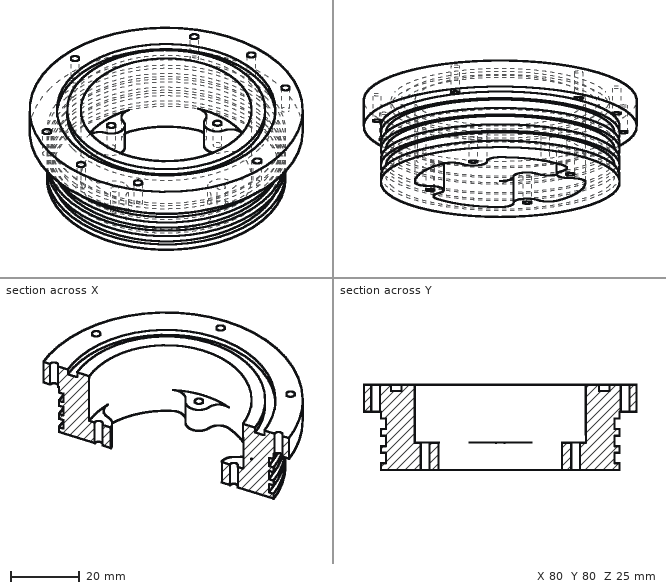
import cadquery as cq
import math

outer_diameter = 80.0
total_height = 25.0
flange_thickness = 8.0
bore_diameter = 50.0
body_height = total_height - flange_thickness

rib_diameter = 70.0
rib_root_diameter = 67.0
rib_thickness = 2.0
rib_count = 4
rib_pitch = (body_height - rib_thickness) / (rib_count - 1)

groove_outer_diameter = 64.0
groove_inner_diameter = 58.0
groove_depth = 1.8

hole_diameter = 2.5
flange_hole_circle = 73.0
flange_hole_angles = [0, 60, 90, 120, 180, 240, 270, 300]

tab_count = 4
tab_height = 8.0
tab_radius = 4.0
tab_fillet_radius = 4.0
tab_center_distance = 22.0


def polar(radius, angle):
    return (radius * math.cos(angle), radius * math.sin(angle))


def make_body():
    body = cq.Workplane("XY").circle(rib_root_diameter / 2).extrude(body_height)
    for index in range(rib_count):
        rib = (
            cq.Workplane("XY", origin=(0, 0, index * rib_pitch))
            .circle(rib_diameter / 2)
            .extrude(rib_thickness)
        )
        body = body.union(rib)
    flange = (
        cq.Workplane("XY", origin=(0, 0, body_height))
        .circle(outer_diameter / 2)
        .extrude(flange_thickness)
    )
    bore = cq.Workplane("XY").circle(bore_diameter / 2).extrude(total_height)
    return body.union(flange).cut(bore)


def make_ring_groove():
    return (
        cq.Workplane("XY", origin=(0, 0, total_height - groove_depth))
        .circle(groove_outer_diameter / 2)
        .circle(groove_inner_diameter / 2)
        .extrude(groove_depth)
    )


def make_tab():
    """Rounded tab on the +X side, blended into the bore by two tangent arcs."""
    bore_radius = bore_diameter / 2
    blend_distance = bore_radius - tab_fillet_radius
    nose_to_blend = tab_radius + tab_fillet_radius
    blend_angle = math.acos(
        (blend_distance**2 + tab_center_distance**2 - nose_to_blend**2)
        / (2 * blend_distance * tab_center_distance)
    )
    blend_x, blend_y = polar(blend_distance, blend_angle)
    bore_x, bore_y = polar(bore_radius, blend_angle)

    nose_angle = math.atan2(-blend_y, tab_center_distance - blend_x)
    nose_dx, nose_dy = polar(tab_fillet_radius, nose_angle)
    nose_x = blend_x + nose_dx
    nose_y = blend_y + nose_dy

    middle_angle = (blend_angle + nose_angle) / 2
    middle_dx, middle_dy = polar(tab_fillet_radius, middle_angle)
    middle_x = blend_x + middle_dx
    middle_y = blend_y + middle_dy

    wall_radius = (bore_diameter + rib_root_diameter) / 4
    wall_x, wall_y = polar(wall_radius, blend_angle)
    return (
        cq.Workplane("XY")
        .moveTo(bore_x, bore_y)
        .threePointArc((middle_x, middle_y), (nose_x, nose_y))
        .threePointArc((tab_center_distance - tab_radius, 0), (nose_x, -nose_y))
        .threePointArc((middle_x, -middle_y), (bore_x, -bore_y))
        .lineTo(wall_x, -wall_y)
        .threePointArc((wall_radius, 0), (wall_x, wall_y))
        .close()
        .extrude(tab_height)
    )


def make_hole(radius, angle, bottom, depth):
    return (
        cq.Workplane("XY", origin=(*polar(radius, math.radians(angle)), bottom))
        .circle(hole_diameter / 2)
        .extrude(depth)
    )


result = make_body().cut(make_ring_groove())

for angle in flange_hole_angles:
    result = result.cut(make_hole(flange_hole_circle / 2, angle, body_height, flange_thickness))

tab = make_tab()
for index in range(tab_count):
    angle = index * 360 / tab_count
    result = result.union(tab.rotate((0, 0, 0), (0, 0, 1), angle))
    result = result.cut(make_hole(tab_center_distance, angle, 0, tab_height))